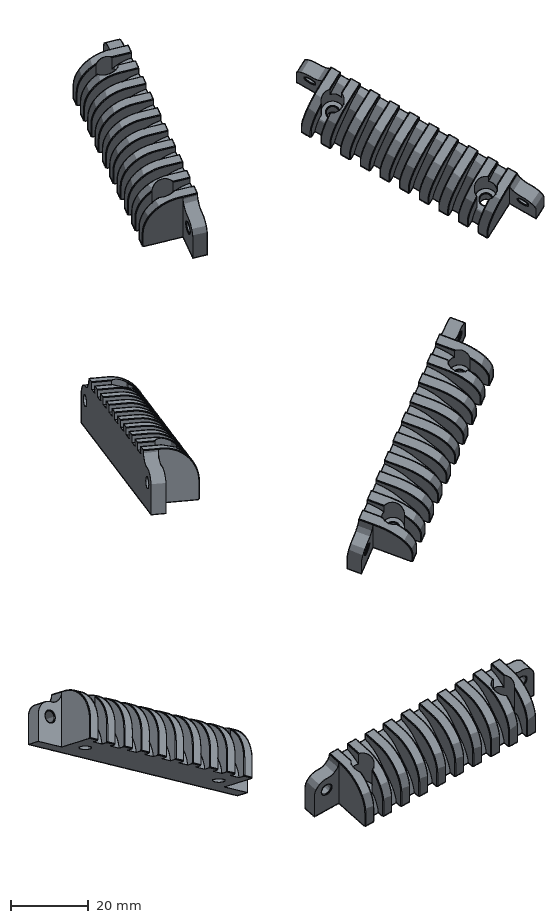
import cadquery as cq
import math

length = 72.0
depth = 15.0
height = 15.0

tab_length = 8.0
body_length = length - 2 * tab_length
fin_count = 10
fin_width = body_length / (2 * fin_count - 1)
fin_pitch = 2 * fin_width
fin_arc_radius = 10.0
fin_edge_chamfer = 0.2

core_size = 12.95
core_flat_near = 5.8
core_flat_far = 10.15
core_arc_radius = 10.0

tab_thickness = 3.95
tab_radius = 4.0
tab_hole_height = 7.4
tab_hole_diameter = 3.1
hollow_slope_rise = 0.3

screw_spacing = 46.0
screw_from_back = 7.5
screw_diameter = 3.25
counterbore_diameter = 6.0
counterbore_floor = 5.0
floor_lip_radius = 1.0

hole_edge_chamfer = 0.2


def make_fin(index):
    """One fin, rounded between top and front; edges of the back and sides of the underside are sharp."""
    start = -body_length / 2 + index * fin_pitch
    return (
        cq.Workplane("YZ", origin=(start, 0, 0))
        .lineTo(0, height)
        .lineTo(fin_arc_radius - depth, height)
        .radiusArc((-depth, height - fin_arc_radius), -fin_arc_radius)
        .lineTo(-depth, 0)
        .close()
        .extrude(fin_width)
        .edges("<Y and <Z")
        .chamfer(fin_edge_chamfer)
        .faces("<X or >X")
        .edges("not (>Y or <Z)")
        .chamfer(fin_edge_chamfer)
    )


def make_core():
    """Bar running through all the fins, opened in front of each counterbore."""
    core = (
        cq.Workplane("YZ", origin=(-body_length / 2, 0, 0))
        .lineTo(0, core_size)
        .radiusArc((-core_flat_near, core_flat_far), -core_arc_radius)
        .lineTo(-core_flat_far, core_flat_near)
        .radiusArc((-core_size, 0), -core_arc_radius)
        .close()
        .extrude(body_length)
    )
    gap_center = body_length / 2 - fin_width - fin_width / 2
    for side in (-1, 1):
        lip_point = (side * gap_center, -depth, counterbore_floor)
        opening = (
            cq.Workplane("XY", origin=lip_point)
            .box(fin_width, depth - screw_from_back, height, centered=(True, False, False))
        )
        core = core.cut(opening)
        lip = cq.selectors.NearestToPointSelector(lip_point)
        core = core.edges(lip).fillet(floor_lip_radius)
    return core


def make_screw_hole(diameter, hole_depth):
    """Hole going down from Z = 0, with a chamfered rim at its mouth."""
    radius = diameter / 2
    hole = cq.Workplane("XY").circle(radius).extrude(-hole_depth)
    rim = (
        cq.Workplane("XZ")
        .lineTo(radius + hole_edge_chamfer, 0)
        .lineTo(radius, -hole_edge_chamfer)
        .lineTo(0, -hole_edge_chamfer)
        .close()
        .revolve(360, (0, 0), (0, 1))
    )
    return hole.union(rim)


def make_tab():
    """Left tab: rounded outer corner, short flat top and a hollow rising to the end fin."""
    tab_top = tab_hole_height + tab_radius
    hollow_size = height - fin_edge_chamfer - tab_top
    hollow_radius = hollow_size - hollow_slope_rise
    long_leg = hollow_radius * math.sin(math.radians(45))
    short_leg = hollow_radius - long_leg
    tab = (
        cq.Workplane("XZ", origin=(-length / 2, 0, 0))
        .lineTo(0, tab_hole_height)
        .radiusArc((tab_radius, tab_top), tab_radius)
        .lineTo(tab_length - hollow_size, tab_top)
        .radiusArc((tab_length - hollow_size + long_leg, tab_top + short_leg), -hollow_radius)
        .line(hollow_slope_rise, hollow_slope_rise)
        .radiusArc((tab_length, tab_top + hollow_size), -hollow_radius)
        .lineTo(tab_length, 0)
        .close()
        .extrude(tab_thickness)
    )
    hole = (
        make_screw_hole(tab_hole_diameter, tab_thickness)
        .rotate((0, 0, 0), (1, 0, 0), 90)
        .translate((tab_radius - length / 2, -tab_thickness, tab_hole_height))
    )
    return tab.cut(hole)


def make_screw_cut(x):
    """Through hole with a counterbore opening upward."""
    counterbore = cq.Workplane("XY").circle(counterbore_diameter / 2).extrude(height)
    return (
        make_screw_hole(screw_diameter, counterbore_floor)
        .union(counterbore)
        .translate((x, -screw_from_back, counterbore_floor))
    )


result = make_core()
for fin_index in range(fin_count):
    result = result.union(make_fin(fin_index))

left_tab = make_tab()
result = result.union(left_tab).union(left_tab.mirror("YZ"))

for side in (-1, 1):
    result = result.cut(make_screw_cut(side * screw_spacing / 2))

result = cq.Workplane(result.solids().val())